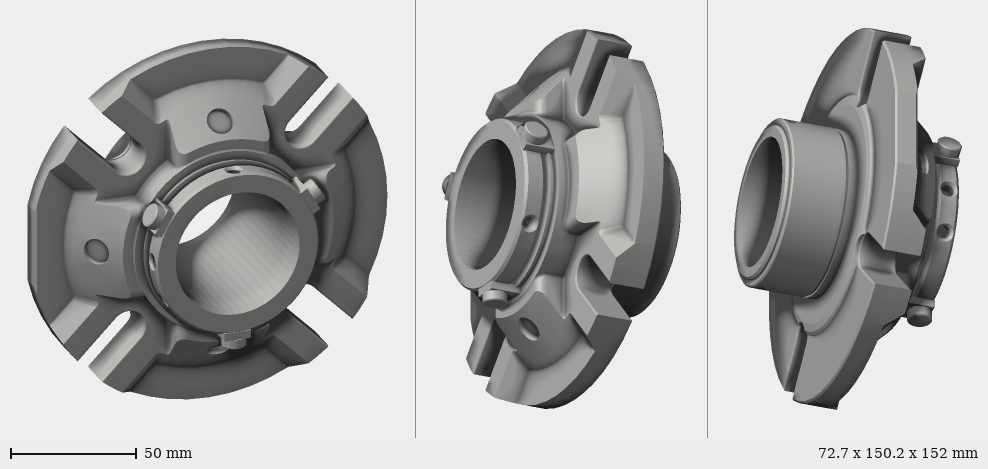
import cadquery as cq
import math


flange_r = 76.0
flange_top = 9.5
flange_chamfer = 0.8
flat_y = -74.2
pilot_face_r = 44.5
pilot_step_r = 47.5
pilot_r = 49.0
pilot_height = 1.8
pilot_step_height = 1.2

lug_top = 16.1
lug_half_width = 17.6
slot_radius = 7.2
slot_centre_r = 52.5
slot_mouth_fillet = 0.8
slot_angles = [45, 135, 225, 315]

cone_r_at_lug = 55.4
cone_r_at_flange = cone_r_at_lug + lug_top - flange_top
drum_r = 39.0
drum_top = 28.1
arm_half_width = 20.0
arm_edge_radius = 3.8
arm_top = 27.7
short_arm_top = 23.9
arm_tops = {0: short_arm_top, 90: arm_top, 180: arm_top, 270: arm_top}
root_fillet = 1.0
recess_corner_fillet = 3.0

recess_root_limit_r = 73.0
crown_root_limit_r = 51.7
tolerance = 0.02

port_dia = 11.0
port_depth = 3.0
port_positions = {90: 21.8, 180: 19.5, 270: 21.8}

bore_dia = 53.0
sleeve_neck_r = 27.5
tip_x = -30.9
tip_r = 31.3
tip_chamfer = 0.9
body_x = -29.2
body_dia = 68.6
body_r = body_dia / 2
body_chamfer = 0.6
groove_x = -6.7
groove_width = 1.2
groove_dia = 66.8
groove_r = groove_dia / 2

plate_r = 35.8
plate_land_r = 35.3
plate_land_x = 29.4
plate_rim_x = 30.5
plate_end_x = 31.3

collar_start = 32.3
collar_end = 41.2
collar_dia = 69.8
collar_r = collar_dia / 2
collar_chamfer_length = 1.2
collar_chamfer_depth = 0.9

clip_start = 28.5
clip_inner = 34.2
clip_outer = 37.6
clip_half_width = 5.6
clip_angles = [30, 150, 270]
screw_x = 36.8
screw_dia = 10.0
screw_top = 41.7
screw_chamfer = 0.5
set_hole_dia = 5.0
set_hole_mouth_dia = 7.6
set_hole_floor_r = 28.9
set_hole_angles = [90, 180, 210, 330]
slotted_hole_angle = 180
driver_slot_width = 0.6
driver_slot_depth = 0.6


def revolve_about_x(points):
    """Solid of revolution from (x, radius) points."""
    return cq.Workplane("XY").polyline(points).close().revolve(360, (0, 0), (1, 0))


def turned(solid, angle):
    return solid.rotate((0, 0, 0), (1, 0, 0), angle)


def block(x0, x1, y0, y1, half_width):
    """Box along +Y, symmetric in Z."""
    box = cq.Workplane("XY").box(x1 - x0, y1 - y0, 2 * half_width, centered=(False, False, True))
    return box.translate((x0, y0, 0))


def flange_disc():
    disc = cq.Workplane("YZ").circle(flange_r).extrude(flange_top)
    disc = disc.intersect(block(0, flange_top, flat_y, flange_r, flange_r))
    disc = disc.faces("<X").chamfer(flange_chamfer)
    return disc.faces("<Y").edges(">X").chamfer(flange_chamfer)


def lug():
    """Bar along +Y with sides sloping 45 degrees, reaching the rim of the flange."""
    base_half_width = lug_half_width + lug_top - flange_top
    section = [
        (-base_half_width, flange_top),
        (base_half_width, flange_top),
        (lug_half_width, lug_top),
        (-lug_half_width, lug_top),
    ]
    bar = cq.Workplane("ZX").polyline(section).close().extrude(flange_r)
    return bar.intersect(cq.Workplane("YZ").circle(flange_r).extrude(lug_top))


def slot_cutter():
    """U-shaped slot along +Y, open at the rim."""
    round_end = cq.Workplane("YZ", origin=(-pilot_height, 0, 0)).center(slot_centre_r, 0)
    round_end = round_end.circle(slot_radius).extrude(lug_top + pilot_height)
    return round_end.union(block(-pilot_height, lug_top, slot_centre_r, flange_r, slot_radius))


def cut_slots(body):
    for angle in slot_angles:
        body = body.cut(turned(slot_cutter(), angle))
    return body


def is_slot_mouth(edge):
    """Edge of a slot on the mounting face, or one of its straight edges on top of the lug."""
    box = edge.BoundingBox()
    centre = edge.Center()
    on_mounting_face = max(abs(box.xmin), abs(box.xmax)) < tolerance
    on_lug_top = max(abs(box.xmin - lug_top), abs(box.xmax - lug_top)) < tolerance
    near_diagonal = abs(abs(centre.y) - abs(centre.z)) < 2 * slot_radius
    outside_slot_end = math.hypot(centre.y, centre.z) > slot_centre_r - slot_radius - tolerance
    on_slot = near_diagonal and outside_slot_end
    return on_slot and (on_mounting_face or (on_lug_top and edge.geomType() == "LINE"))


def hub_arm(top):
    """Block along +Y with rounded upper edges."""
    arm = block(lug_top, top, 0, cone_r_at_flange, arm_half_width)
    return arm.edges("|Y and >X").fillet(arm_edge_radius)


def is_drum_corner(edge):
    """Upright edge where an arm meets the drum."""
    centre = edge.Center()
    return math.isclose(math.hypot(centre.y, centre.z), drum_r, abs_tol=tolerance)


def hub_crown():
    """Drum and arms standing on the level of the lugs, with filleted corners between them."""
    crown = cq.Workplane("YZ", origin=(lug_top, 0, 0)).circle(drum_r).extrude(drum_top - lug_top)
    for angle, top in arm_tops.items():
        crown = crown.union(turned(hub_arm(top), angle))
    return crown.edges("|X").filter(is_drum_corner).fillet(root_fillet)


def is_recess_corner(edge):
    """Sloping edge where the cone meets a lug flank."""
    box = edge.BoundingBox()
    starts_on_flange = math.isclose(box.xmin, flange_top, abs_tol=tolerance)
    ends_at_lug_top = math.isclose(box.xmax, lug_top, abs_tol=tolerance)
    return starts_on_flange and ends_at_lug_top and edge.geomType() == "PARABOLA"


def is_recess_floor_root(edge):
    """Edge where the cone or a lug flank rises from the flange between the lugs."""
    box = edge.BoundingBox()
    centre = edge.Center()
    inside_rim = math.hypot(centre.y, centre.z) < recess_root_limit_r
    return inside_rim and max(abs(box.xmin - flange_top), abs(box.xmax - flange_top)) < tolerance


def is_crown_root(edge):
    """Edge where the walls of the drum and arms meet the level of the lugs."""
    box = edge.BoundingBox()
    centre = edge.Center()
    at_lug_level = max(abs(box.xmin - lug_top), abs(box.xmax - lug_top)) < tolerance
    on_wall = min(abs(centre.y), abs(centre.z)) < arm_half_width + root_fillet
    on_drum = math.hypot(centre.y, centre.z) < drum_r + root_fillet
    inside_cone = math.hypot(centre.y, centre.z) < crown_root_limit_r
    return at_lug_level and inside_cone and (on_wall or on_drum)


def hub():
    """Flange, lugs, cone with crown, pilot, slots and ports as one body."""
    cone_r_at_top = cone_r_at_lug + lug_top - drum_top
    cone = [
        (0, 0),
        (0, cone_r_at_flange),
        (flange_top, cone_r_at_flange),
        (drum_top, cone_r_at_top),
        (drum_top, 0),
    ]
    pilot = [
        (0, 0),
        (-pilot_height, 0),
        (-pilot_height, pilot_face_r),
        (-pilot_step_height, pilot_step_r),
        (0, pilot_r),
    ]
    body = flange_disc().union(revolve_about_x(cone))
    for angle in slot_angles:
        body = body.union(turned(lug(), angle))
    surroundings = cq.Workplane("YZ", origin=(lug_top, 0, 0)).circle(flange_r).extrude(drum_top - lug_top)
    body = body.cut(surroundings.cut(hub_crown()))
    body = body.edges().filter(is_recess_corner).fillet(recess_corner_fillet)
    body = body.edges().filter(is_recess_floor_root).fillet(root_fillet)
    body = body.edges().filter(is_crown_root).fillet(root_fillet)
    body = cut_slots(body)
    body = body.edges().filter(is_slot_mouth).fillet(slot_mouth_fillet)
    body = body.union(cut_slots(revolve_about_x(pilot)))
    for angle, x in port_positions.items():
        body = body.cut(turned(port_cutter(x), angle))
    return body


def port_cutter(x):
    """Shallow round pocket square to the cone, centred at x on its surface."""
    centre = cq.Vector(x, cone_r_at_lug + lug_top - x, 0)
    inward = cq.Vector(-1, -1, 0).normalized()
    start = centre - inward * port_depth
    return cq.Workplane(cq.Solid.makeCylinder(port_dia / 2, 2 * port_depth, start, inward))


def sleeve():
    groove_end = groove_x + groove_width
    return revolve_about_x(
        [
            (tip_x, 0),
            (tip_x, tip_r - tip_chamfer),
            (tip_x + tip_chamfer, tip_r),
            (body_x, tip_r),
            (body_x, body_r - body_chamfer),
            (body_x + body_chamfer, body_r),
            (groove_x, body_r),
            (groove_x, groove_r),
            (groove_end, groove_r),
            (groove_end, body_r),
            (drum_top, body_r),
            (drum_top, plate_land_r),
            (plate_land_x, plate_land_r),
            (plate_land_x, plate_r),
            (plate_rim_x, plate_r),
            (plate_end_x, sleeve_neck_r),
            (collar_end, sleeve_neck_r),
            (collar_end, 0),
        ]
    )


def collar():
    shoulder_r = collar_r - collar_chamfer_depth
    ring = revolve_about_x(
        [
            (collar_start, 0),
            (collar_start, shoulder_r),
            (collar_start + collar_chamfer_length, collar_r),
            (collar_end - collar_chamfer_length, collar_r),
            (collar_end, shoulder_r),
            (collar_end, 0),
        ]
    )
    for angle in set_hole_angles:
        ring = ring.cut(turned(set_hole_cutter(), angle))
    return ring.cut(turned(driver_slot_cutter(), slotted_hole_angle))


def set_hole_cutter():
    """Radial hole along +Y with a 45 degree countersink."""
    hole_r = set_hole_dia / 2
    mouth_r = set_hole_mouth_dia / 2
    profile = [
        (0, set_hole_floor_r),
        (hole_r, set_hole_floor_r),
        (hole_r, collar_r - mouth_r + hole_r),
        (mouth_r, collar_r),
        (0, collar_r),
    ]
    cutter = cq.Workplane("XY").polyline(profile).close().revolve(360, (0, 0), (0, 1))
    return cutter.translate((screw_x, 0, 0))


def driver_slot_cutter():
    """Narrow groove across the floor of a set hole."""
    half_width = driver_slot_width / 2
    floor = set_hole_floor_r
    return block(screw_x - half_width, screw_x + half_width, floor - driver_slot_depth, floor, set_hole_dia / 2)


def clip():
    """Tab along +Y with its screw head."""
    tab = block(clip_start, collar_end, clip_inner, clip_outer, clip_half_width)
    axis_start = cq.Vector(screw_x, clip_outer, 0)
    head = cq.Workplane(
        cq.Solid.makeCylinder(screw_dia / 2, screw_top - clip_outer, axis_start, cq.Vector(0, 1, 0))
    )
    return tab.union(head.faces(">Y").chamfer(screw_chamfer))


result = hub().union(sleeve()).union(collar())
for clip_angle in clip_angles:
    result = result.union(turned(clip(), clip_angle))
bore = cq.Workplane("YZ", origin=(tip_x, 0, 0)).circle(bore_dia / 2).extrude(collar_end - tip_x)
result = result.cut(bore)